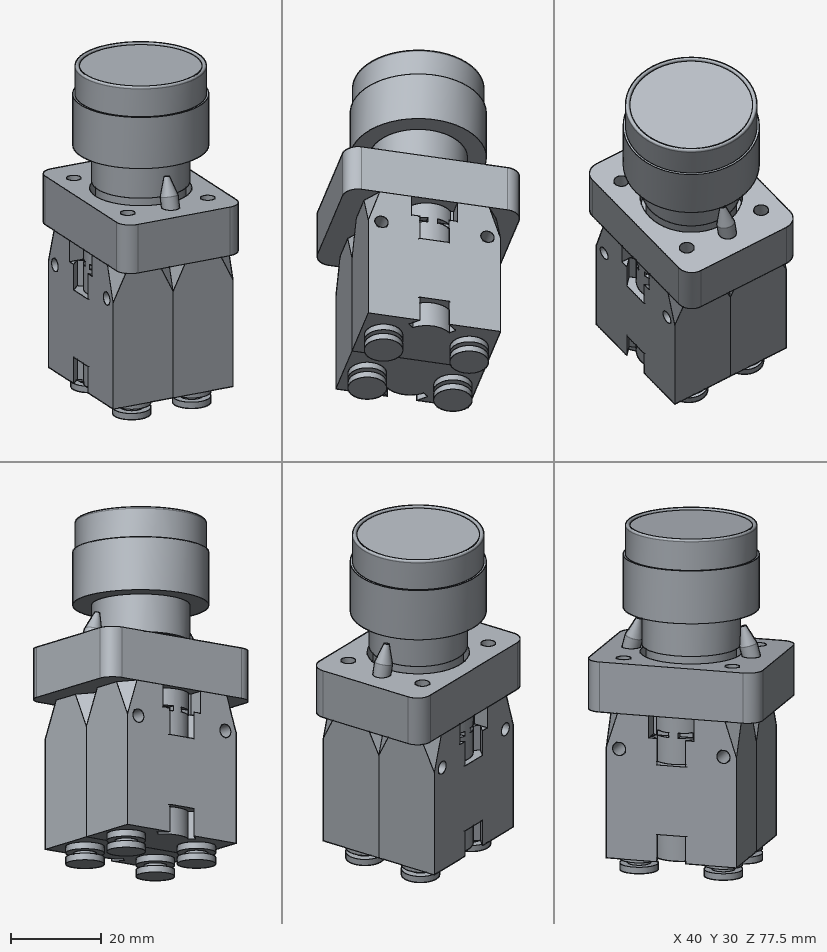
import cadquery as cq
import math


plate_length = 40.0
plate_depth = 30.0
plate_height = 11.4
plate_corner_radius = 3.5
recess_dia = 22.5
recess_depth = 4.5

screw_hole_x = 12.5
screw_hole_y = 10.0
plate_hole_dia = 3.25
block_hole_dia = 2.45
block_hole_depth = 7.0

pin_dia = 4.0
pin_tip_dia = 1.2
pin_tilt = 15.0
pin_x = 13.8
pin_insertion = 6.0
pin_shank_out = 2.5
pin_cone_length = 4.4

groove_dia = 20.0
groove_height = 1.6
neck_dia = 21.7
neck_height = 8.5
bezel_dia = 30.0
bezel_height = 12.0
cap_dia = 29.0
cap_height = 6.5
bead_width = 1.0

block_length = 30.0
block_depth = plate_depth / 2
block_height = 33.0
corner_cut_x = 2.6
corner_cut_y = 4.0
corner_cut_height = 8.0
cross_hole_dia = 3.0
cross_hole_x = 12.0
cross_hole_drop = 8.0

barrel_dia = 12.0
window_width = 10.4
window_depth = 3.5
window_height = 5.0
slot_mouth = 6.6
slot_undercut = 2.0
upper_slot_bottom = 11.0
lower_slot_height = 6.2
notch_inner_x = 1.1
notch_outer_x = 4.1
notch_height = 1.1
notch_depth = 3.1

fitting_x = 9.7
fitting_dia = 8.5
fitting_groove_dia = 5.0
fitting_flange = 1.5
fitting_groove = 1.0

SIDES = (-1, 1)


def cylinder(diameter, height, x=0.0, y=0.0, z=0.0):
    """Upright cylinder standing on height z."""
    return cq.Workplane("XY", origin=(x, y, z)).circle(diameter / 2).extrude(height)


def pin_shank():
    """Tilted shank of the pin on +X, with its upper end point and its axis."""
    tilt = math.radians(pin_tilt)
    axis = cq.Vector(-math.sin(tilt), 0, math.cos(tilt))
    bottom = cq.Vector(pin_x, 0, plate_height) - axis * pin_insertion
    length = pin_insertion + pin_shank_out
    shank = cq.Solid.makeCylinder(pin_dia / 2, length, bottom, axis)
    shoulder = bottom + axis * length
    return shank, shoulder, axis


def on_side(shape, side):
    """Turn a +X shape half a turn about Z for the -X side."""
    return shape if side > 0 else shape.rotate((0, 0, 0), (0, 0, 1), 180)


def make_pin(side):
    """Clamp pin with a conical point."""
    shank, shoulder, axis = pin_shank()
    cone = cq.Solid.makeCone(pin_dia / 2, pin_tip_dia / 2, pin_cone_length, shoulder, axis)
    return on_side(cq.Workplane(shank).union(cq.Workplane(cone)), side)


def make_plate():
    """Rounded plate with the button recess, four screw holes and two tilted pin sockets."""
    plate = (
        cq.Workplane("XY")
        .rect(plate_length, plate_depth)
        .extrude(plate_height)
        .edges("|Z")
        .fillet(plate_corner_radius)
    )
    plate = plate.cut(cylinder(recess_dia, recess_depth, z=plate_height - recess_depth))
    plate = (
        plate.faces("<Z").workplane(origin=(0, 0, 0))
        .rect(2 * screw_hole_x, 2 * screw_hole_y, forConstruction=True)
        .vertices()
        .hole(plate_hole_dia)
    )
    for side in SIDES:
        shank, _, _ = pin_shank()
        plate = plate.cut(on_side(cq.Workplane(shank), side))
    return plate


def make_button():
    """Revolved button whose foot stands on the floor of the plate recess."""
    foot_z = plate_height - recess_depth
    neck_z = plate_height + groove_height
    bezel_z = neck_z + neck_height
    cap_z = bezel_z + bezel_height
    top_z = cap_z + cap_height
    bead_outer = cap_dia / 2
    bead_inner = bead_outer - bead_width
    bead_center = bead_outer - bead_width / 2
    return (
        cq.Workplane("XZ")
        .moveTo(0, foot_z)
        .lineTo(groove_dia / 2, foot_z)
        .lineTo(groove_dia / 2, neck_z)
        .lineTo(neck_dia / 2, neck_z)
        .lineTo(neck_dia / 2, bezel_z)
        .lineTo(bezel_dia / 2, bezel_z)
        .lineTo(bezel_dia / 2, cap_z)
        .lineTo(bead_outer, cap_z)
        .lineTo(bead_outer, top_z)
        .threePointArc((bead_center, top_z + bead_width / 2), (bead_inner, top_z))
        .lineTo(0, top_z)
        .close()
        .revolve(360, (0, 0, 0), (0, 1, 0))
    )


def corner_wedge(x_side, y):
    """Tetrahedron that bevels one top corner of a block; y is the corner's own Y."""
    x = x_side * block_length / 2
    toward_middle = 1 if y < -block_depth / 2 else -1
    corner = cq.Vector(x, y, 0)
    along_x = cq.Vector(x - x_side * corner_cut_x, y, 0)
    along_y = cq.Vector(x, y + toward_middle * corner_cut_y, 0)
    below = cq.Vector(x, y, -corner_cut_height)
    triangles = [
        (corner, along_x, along_y),
        (corner, along_x, below),
        (corner, along_y, below),
        (along_x, along_y, below),
    ]
    faces = [cq.Face.makeFromWires(cq.Wire.makePolygon(list(t), close=True)) for t in triangles]
    return cq.Workplane(cq.Solid.makeSolid(cq.Shell.makeShell(faces)))


def flared_slot(bottom_z, height):
    """Slot with an undercut on both sides of its mouth in the outer face."""
    mouth = slot_mouth / 2
    belly = mouth + slot_undercut
    back = belly - (window_depth - slot_undercut)
    face_y = -block_depth
    belly_y = face_y + slot_undercut
    back_y = face_y + window_depth
    return (
        cq.Workplane("XY", origin=(0, 0, bottom_z))
        .polyline([
            (-mouth, face_y), (mouth, face_y), (belly, belly_y),
            (back, back_y), (-back, back_y), (-belly, belly_y),
        ])
        .close()
        .extrude(height)
    )


def barrel_openings():
    """Windows and slots that lay the barrel bare, with two notches in the barrel."""
    window = (
        cq.Workplane("XY", origin=(0, -block_depth + window_depth / 2, -window_height))
        .rect(window_width, window_depth)
        .extrude(window_height)
    )
    openings = (
        window
        .union(flared_slot(-upper_slot_bottom, upper_slot_bottom - window_height))
        .union(flared_slot(-block_height, lower_slot_height))
        .cut(cylinder(barrel_dia, block_height, y=-block_depth / 2, z=-block_height))
    )
    notch_width = notch_outer_x - notch_inner_x
    for side in SIDES:
        notch_x = side * (notch_inner_x + notch_width / 2)
        notch_y = -block_depth + notch_depth / 2
        notch = (
            cq.Workplane("XY", origin=(notch_x, notch_y, -window_height))
            .rect(notch_width, notch_depth)
            .extrude(notch_height)
        )
        openings = openings.union(notch)
    return openings


def make_fitting(x):
    """Grooved port fitting hanging below a block."""
    y = -block_depth / 2
    flange_z = -block_height - fitting_flange
    groove_z = flange_z - fitting_groove
    return (
        cylinder(fitting_dia, fitting_flange, x, y, flange_z)
        .union(cylinder(fitting_groove_dia, fitting_groove, x, y, groove_z))
        .union(cylinder(fitting_dia, fitting_flange, x, y, groove_z - fitting_flange))
    )


def make_block():
    """Contact block on the -Y side, outer face toward -Y."""
    block = (
        cq.Workplane("XY", origin=(0, -block_depth / 2, -block_height))
        .rect(block_length, block_depth)
        .extrude(block_height)
    )
    block = block.cut(barrel_openings())
    for side in SIDES:
        for corner_y in (-block_depth, 0.0):
            block = block.cut(corner_wedge(side, corner_y))
        cross_hole = (
            cq.Workplane("XZ", origin=(side * cross_hole_x, 0, -cross_hole_drop))
            .circle(cross_hole_dia / 2)
            .extrude(block_depth)
        )
        screw_hole = cylinder(
            block_hole_dia, block_hole_depth, side * screw_hole_x, -screw_hole_y, -block_hole_depth)
        block = block.cut(cross_hole).cut(screw_hole)
        block = block.union(make_fitting(side * fitting_x))
    return block


plate = make_plate()
button = make_button()
pins = [make_pin(side) for side in SIDES]
blocks = [make_block().rotate((0, 0, 0), (0, 0, 1), turn) for turn in (0, 180)]

result = cq.Compound.makeCompound([
    plate.val(),
    button.val(),
    *[pin.val() for pin in pins],
    *[block.val() for block in blocks],
])